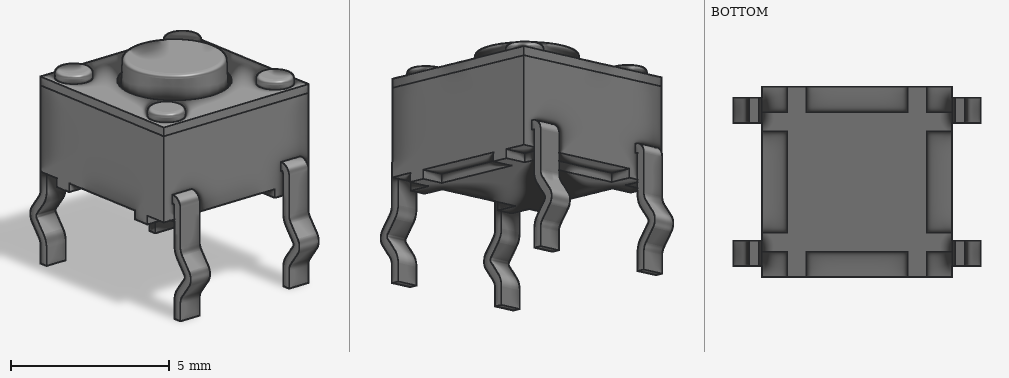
import cadquery as cq
import math

overall_length = 7.8
overall_height = 7.3

housing_side = 6.0
housing_height = 3.2
foot_height = 0.3
foot_width = 0.6
foot_length = 0.8

cover_thickness = 0.3
cover_top = housing_height + cover_thickness
opening_radius = 1.8
corner_pitch = 4.5
stud_radius = 0.6
stud_height = 0.3
rim_fillet = 0.15

button_rise = 0.8
button_top_radius = 1.645
button_base_radius = 1.7
button_height = cover_thickness + button_rise

pin_thickness = 0.3
pin_width = 0.8
shoulder_straight = 0.05
shoulder_radius = 0.2
shoulder_bottom = 0.795
outer_bend_radius = 0.55
crest_radius = 0.27
crest_drop = 1.46
bend_angle = math.radians(37.5)

pin_tip_z = cover_top + button_rise - overall_height
corner_points = [
    (x, y)
    for x in (-corner_pitch / 2, corner_pitch / 2)
    for y in (-corner_pitch / 2, corner_pitch / 2)
]


def make_pin():
    """One pin on the +X side, centred on y = 0."""
    start_x = housing_side / 2
    bend_x = start_x + shoulder_straight
    leg_x = bend_x + shoulder_radius
    start_z = shoulder_bottom + shoulder_radius
    crest_x = (overall_length - pin_thickness) / 2
    crest_z = -crest_drop

    sideways = 1 - math.cos(bend_angle)
    downward = math.sin(bend_angle)

    slope_start_x = leg_x + outer_bend_radius * sideways
    slope_end_x = crest_x - crest_radius * sideways
    slope_drop = (slope_end_x - slope_start_x) / math.tan(bend_angle)

    slope_end = crest_radius * downward
    slope_start = slope_end + slope_drop
    wave_end = slope_start + outer_bend_radius * downward

    centreline = (
        cq.Workplane("XZ")
        .moveTo(start_x, start_z)
        .lineTo(bend_x, start_z)
        .radiusArc((leg_x, shoulder_bottom), shoulder_radius)
        .lineTo(leg_x, crest_z + wave_end)
        .tangentArcPoint((slope_start_x, crest_z + slope_start), relative=False)
        .lineTo(slope_end_x, crest_z + slope_end)
        .tangentArcPoint((slope_end_x, crest_z - slope_end), relative=False)
        .lineTo(slope_start_x, crest_z - slope_start)
        .tangentArcPoint((leg_x, crest_z - wave_end), relative=False)
        .lineTo(leg_x, pin_tip_z)
    )
    return (
        cq.Workplane("YZ", origin=(start_x, 0, start_z))
        .rect(pin_width, pin_thickness)
        .sweep(centreline)
    )


def make_housing():
    """Square block on eight feet around a central pad, with its four pins."""
    block = (
        cq.Workplane("XY", origin=(0, 0, foot_height))
        .rect(housing_side, housing_side)
        .extrude(housing_height - foot_height)
    )
    pad_side = housing_side - 2 * foot_length
    foot_offset = (pad_side - foot_width) / 2
    body = block.union(cq.Workplane("XY").rect(pad_side, pad_side).extrude(foot_height))

    for offset in (-foot_offset, foot_offset):
        bar_x = cq.Workplane("XY").center(0, offset).rect(housing_side, foot_width).extrude(foot_height)
        bar_y = cq.Workplane("XY").center(offset, 0).rect(foot_width, housing_side).extrude(foot_height)
        body = body.union(bar_x).union(bar_y)

    pin = make_pin()
    for y in (-corner_pitch / 2, corner_pitch / 2):
        placed_pin = pin.translate((0, y, 0))
        body = body.union(placed_pin).union(placed_pin.mirror("YZ"))
    return body


def make_cover():
    """Square plate with a through opening and four rounded studs."""
    plate = (
        cq.Workplane("XY", origin=(0, 0, housing_height))
        .rect(housing_side, housing_side)
        .circle(opening_radius)
        .extrude(cover_thickness)
    )
    studs = (
        cq.Workplane("XY", origin=(0, 0, cover_top))
        .pushPoints(corner_points)
        .circle(stud_radius)
        .extrude(stud_height)
        .faces(">Z")
        .edges()
        .fillet(rim_fillet)
    )
    return plate.union(studs)


def make_button():
    """Tapered round button with a rounded top rim."""
    return (
        cq.Workplane("XY", origin=(0, 0, housing_height))
        .circle(button_base_radius)
        .workplane(offset=button_height)
        .circle(button_top_radius)
        .loft(ruled=True)
        .faces(">Z")
        .edges()
        .fillet(rim_fillet)
    )


housing = make_housing()
cover = make_cover()
button = make_button()

result = cq.Compound.makeCompound([housing.solids().val(), cover.solids().val(), button.solids().val()])